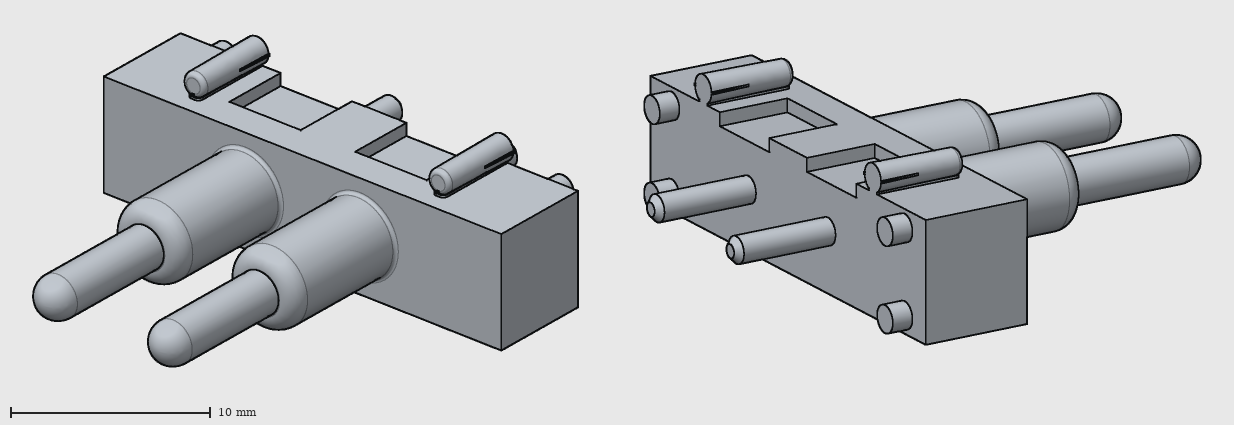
import cadquery as cq
body_length = 26.0
body_depth = 6.0
body_height = 6.62

contact_spacing = 7.5
sleeve_diameter = 4.6
sleeve_length = 7.85
sleeve_root_fillet = 0.2
sleeve_nose_fillet = 1.0
plunger_diameter = 2.5
plunger_tip = 15.85
tail_diameter = 1.45
tail_chamfer = 0.35
overall_depth = 27.6
tail_length = overall_depth - plunger_tip - body_depth

boss_diameter = 1.5
boss_length = 1.15
boss_spacing_x = 22.0
boss_spacing_z = 4.65

pocket_width = 4.66
pocket_depth = 0.75
pocket_run = 4.0
pocket_spacing = 8.22

peg_spacing = 16.0
peg_length = 4.97
peg_rear_radius = 0.77
peg_front_radius = 0.72
peg_nose_fillet = 0.28
peg_rib_thickness = 0.1
peg_rib_tip = 0.85
peg_rib_run = 2.2
peg_foot_width = 0.77
peg_foot_height = 0.15
peg_foot_rounding = 0.28


def mirrored(spacing):
    """Coordinates of a pair placed symmetrically about zero."""
    return (-spacing / 2, spacing / 2)


def contact(x):
    """Sleeve, domed plunger and chamfered tail turned about one axis along Y."""
    sleeve_radius = sleeve_diameter / 2
    plunger_radius = plunger_diameter / 2
    tail_radius = tail_diameter / 2
    tail_end = body_depth + tail_length
    tail_root = body_depth / 2
    root_radius = sleeve_radius + sleeve_root_fillet
    nose_radius = sleeve_radius - sleeve_nose_fillet
    profile = (
        cq.Workplane("XY")
        .moveTo(0, tail_end)
        .lineTo(tail_radius - tail_chamfer, tail_end)
        .lineTo(tail_radius, tail_end - tail_chamfer)
        .lineTo(tail_radius, tail_root)
        .lineTo(root_radius, tail_root)
        .lineTo(root_radius, 0)
        .radiusArc((sleeve_radius, -sleeve_root_fillet), -sleeve_root_fillet)
        .lineTo(sleeve_radius, sleeve_nose_fillet - sleeve_length)
        .radiusArc((nose_radius, -sleeve_length), sleeve_nose_fillet)
        .lineTo(plunger_radius, -sleeve_length)
        .lineTo(plunger_radius, plunger_radius - plunger_tip)
        .radiusArc((0, -plunger_tip), plunger_radius)
        .close()
    )
    return profile.revolve(360, (0, 0, 0), (0, 1, 0)).translate((x, 0, 0))


def peg(x):
    """Nosed cone on a web and low foot, with a tapered crush rib on each side at the rear."""
    nose_shoulder = peg_length - peg_nose_fillet
    profile = (
        cq.Workplane("XY")
        .lineTo(peg_rear_radius, 0)
        .lineTo(peg_front_radius, -nose_shoulder)
        .radiusArc((peg_front_radius - peg_nose_fillet, -peg_length), peg_nose_fillet)
        .lineTo(0, -peg_length)
        .close()
    )
    cone = profile.revolve(360, (0, 0, 0), (0, 1, 0))

    web = cq.Workplane("XY").box(
        peg_rib_thickness, peg_length, peg_rear_radius, centered=(True, False, False)
    )
    web = web.translate((0, -peg_length, -peg_rear_radius))

    foot = cq.Workplane("XY").box(
        peg_foot_width, peg_length, peg_foot_height, centered=(True, False, False)
    )
    foot = foot.edges("|Z and <Y").fillet(peg_foot_rounding)
    foot = foot.translate((0, -peg_length, -peg_rear_radius))

    cone_slope = (peg_rear_radius - peg_front_radius) / nose_shoulder
    fade_radius = peg_rear_radius - cone_slope * peg_rib_run
    rib_outline = [
        (-peg_rib_tip, 0),
        (peg_rib_tip, 0),
        (fade_radius, -peg_rib_run),
        (-fade_radius, -peg_rib_run),
    ]
    ribs = cq.Workplane("XY").polyline(rib_outline).close().extrude(peg_rib_thickness / 2, both=True)

    axis_height = body_height / 2 + peg_rear_radius
    return cone.union(web).union(foot).union(ribs).translate((x, body_depth, axis_height))


body = cq.Workplane("XY").box(body_length, body_depth, body_height)
result = body.translate((0, body_depth / 2, 0))

for x in mirrored(pocket_spacing):
    pocket = cq.Workplane("XY").box(pocket_width, pocket_run, pocket_depth)
    pocket_y = body_depth - pocket_run / 2
    result = result.cut(pocket.translate((x, pocket_y, (body_height - pocket_depth) / 2)))

for x in mirrored(contact_spacing):
    result = result.union(contact(x))

for x in mirrored(boss_spacing_x):
    for z in mirrored(boss_spacing_z):
        boss = cq.Workplane("XZ").circle(boss_diameter / 2).extrude(-boss_length)
        result = result.union(boss.translate((x, body_depth, z)))

for x in mirrored(peg_spacing):
    result = result.union(peg(x))